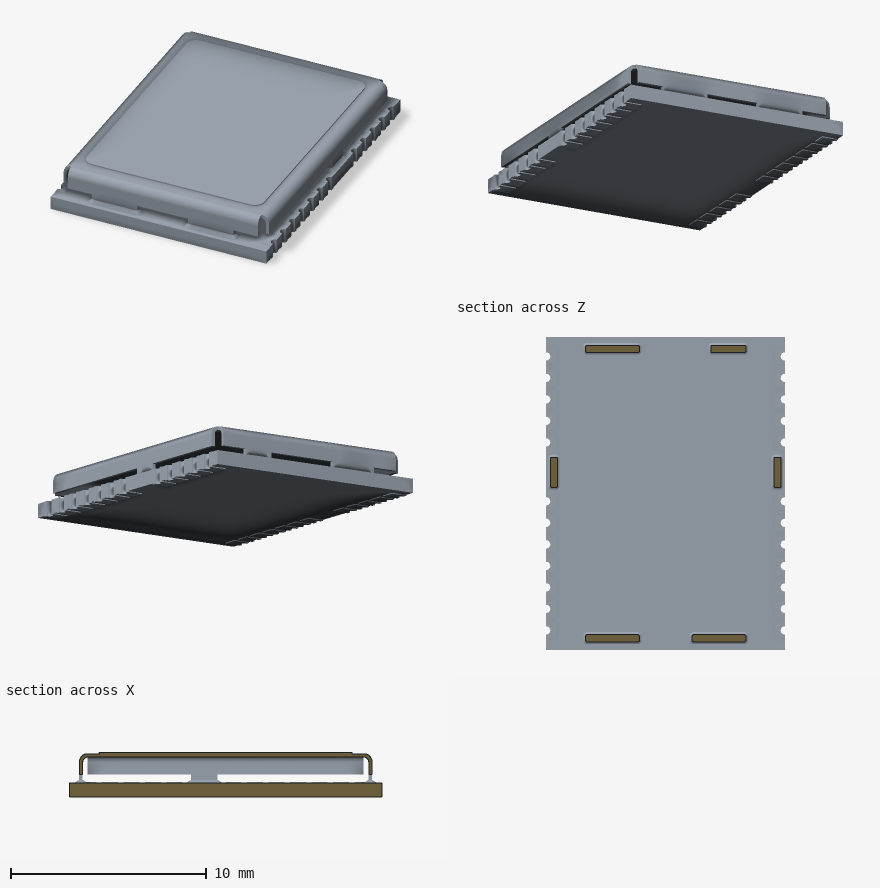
import cadquery as cq
import math

board_width = 12.2
board_length = 16.0
pad_thickness = 0.05
board_top = 0.78
total_height = 2.34

pad_width = 0.8
upper_pad_thickness = 0.02
upper_pad_reach = 0.5
lower_pad_reach = 0.9
castellation_radius = 0.2
rear_pad_count = 5
front_pad_count = 7
pad_row_length = 14.0
pad_row_gap = 3.0
pad_pitch = (pad_row_length - pad_row_gap) / (rear_pad_count + front_pad_count - 2)
end_pad_y = pad_row_length / 2

sheet = 0.2
bend_radius = 0.43
lid_side_inset = 0.29
lid_end_inset = 0.51
lid_width = board_width - 2 * lid_side_inset
lid_length = board_length - 2 * lid_end_inset
lid_top = 2.27
skirt_bottom = 1.2

solder_top = 0.91
solder_spread = 0.2
solder_taper = math.degrees(math.atan2(solder_spread, solder_top - board_top))
end_tab_width = 2.58
end_tab_x = 2.72
short_tab_width = 1.62
side_tab_width = 1.36
side_tab_y = 1.09

label_side_inset = 1.07
label_end_inset = 1.5
label_width = board_width - 2 * label_side_inset
label_length = board_length - 2 * label_end_inset
label_corner_radius = 0.55


def block(width, length, bottom, top, x=0.0, y=0.0):
    """Upright box centred on (x, y) between two heights."""
    return cq.Workplane("XY", origin=(x, y, bottom)).rect(width, length).extrude(top - bottom)


def channel(width, length):
    """Downward-open sheet channel running along Y, with rounded upper bends."""
    outer = block(width, length, skirt_bottom, lid_top).edges("|Y and >Z").fillet(bend_radius)
    inner = block(width - 2 * sheet, length, skirt_bottom, lid_top - sheet)
    inner = inner.edges("|Y and >Z").fillet(bend_radius - sheet)
    return outer.cut(inner)


def soldered_tab(width, length, x, y):
    """Lid tab standing on the board in a tapered solder foot."""
    tab = block(width, length, board_top, skirt_bottom, x, y)
    foot = (
        cq.Workplane("XY", origin=(x, y, solder_top))
        .rect(width, length)
        .extrude(board_top - solder_top, taper=-solder_taper)
    )
    return tab.union(foot)


upper_pad_top = board_top + upper_pad_thickness
pad_ys = [end_pad_y - i * pad_pitch for i in range(rear_pad_count)]
pad_ys += [-end_pad_y + i * pad_pitch for i in range(front_pad_count)]

result = block(board_width, board_length, pad_thickness, board_top)
for side in (-1, 1):
    edge_x = side * board_width / 2
    upper_x = edge_x - side * upper_pad_reach / 2
    lower_x = edge_x - side * lower_pad_reach / 2
    for y in pad_ys:
        result = result.union(block(upper_pad_reach, pad_width, board_top, upper_pad_top, upper_x, y))
        result = result.union(block(lower_pad_reach, pad_width, 0, pad_thickness, lower_x, y))
    notches = (
        cq.Workplane("XY")
        .pushPoints([(edge_x, y) for y in pad_ys])
        .circle(castellation_radius)
        .extrude(total_height)
    )
    result = result.cut(notches)

side_walls = channel(lid_width, lid_length - 2 * bend_radius)
end_walls = channel(lid_length, lid_width - 2 * bend_radius).rotate((0, 0, 0), (0, 0, 1), 90)
lid = side_walls.union(end_walls)

end_wall_y = (lid_length - sheet) / 2
side_wall_x = (lid_width - sheet) / 2
short_tab_x = end_tab_x + (end_tab_width - short_tab_width) / 2
lid = lid.union(soldered_tab(end_tab_width, sheet, -end_tab_x, -end_wall_y))
lid = lid.union(soldered_tab(end_tab_width, sheet, end_tab_x, -end_wall_y))
lid = lid.union(soldered_tab(end_tab_width, sheet, -end_tab_x, end_wall_y))
lid = lid.union(soldered_tab(short_tab_width, sheet, short_tab_x, end_wall_y))
for side in (-1, 1):
    lid = lid.union(soldered_tab(sheet, side_tab_width, side * side_wall_x, side_tab_y))

label = block(label_width, label_length, lid_top, total_height)
label = label.edges("|Z").fillet(label_corner_radius)

result = result.union(lid).union(label)